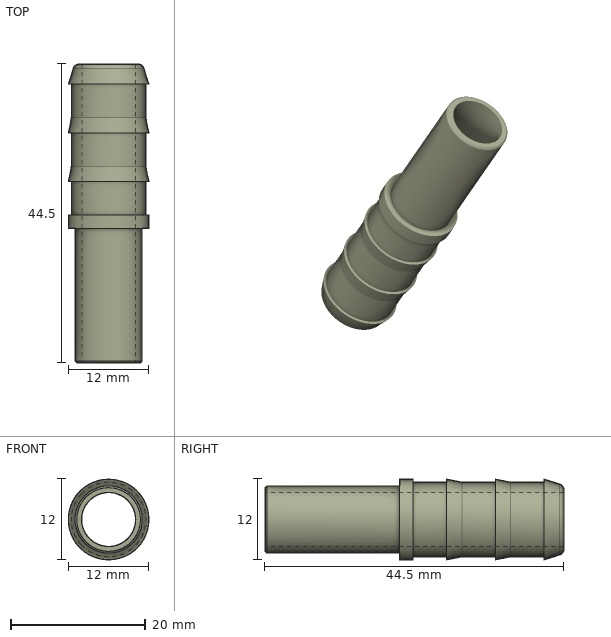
import cadquery as cq

total_length = 44.5
collar_diameter = 12.0
tube_diameter = 10.0
hose_diameter = 11.12
bore_diameter = 8.0

tube_length = 20.02
collar_length = 2.0
barb_length = 2.25
barb_pitch = 7.25
tip_length = 3.0

tube_chamfer = 0.25
tip_end_diameter = 10.15
tip_fillet = 1.0

collar_end = tube_length + collar_length
tip_start = total_length - tip_length
barb_starts = [tip_start - 2 * barb_pitch, tip_start - barb_pitch]


def cylinder(start, length, diameter):
    """Solid cylinder on the Y axis, running from start towards +Y."""
    plane = cq.Plane(origin=(0, start, 0), xDir=(1, 0, 0), normal=(0, 1, 0))
    return cq.Workplane(plane).circle(diameter / 2).extrude(length)


def cone(start, length, start_diameter, end_diameter):
    """Solid truncated cone on the Y axis, running from start towards +Y."""
    return cq.Workplane(
        cq.Solid.makeCone(
            start_diameter / 2,
            end_diameter / 2,
            length,
            pnt=cq.Vector(0, start, 0),
            dir=cq.Vector(0, 1, 0),
        )
    )


tube = cylinder(0, tube_length, tube_diameter).faces("<Y").edges().chamfer(tube_chamfer)

collar = cylinder(tube_length, collar_length, collar_diameter)
shank = cylinder(collar_end, tip_start - collar_end, hose_diameter)
body = tube.union(collar).union(shank)

for barb_start in barb_starts:
    body = body.union(cone(barb_start, barb_length, collar_diameter, hose_diameter))

tip = cone(tip_start, tip_length, collar_diameter, tip_end_diameter)
tip = tip.faces(">Y").edges().fillet(tip_fillet)
body = body.union(tip)

result = body.cut(cylinder(0, total_length, bore_diameter))